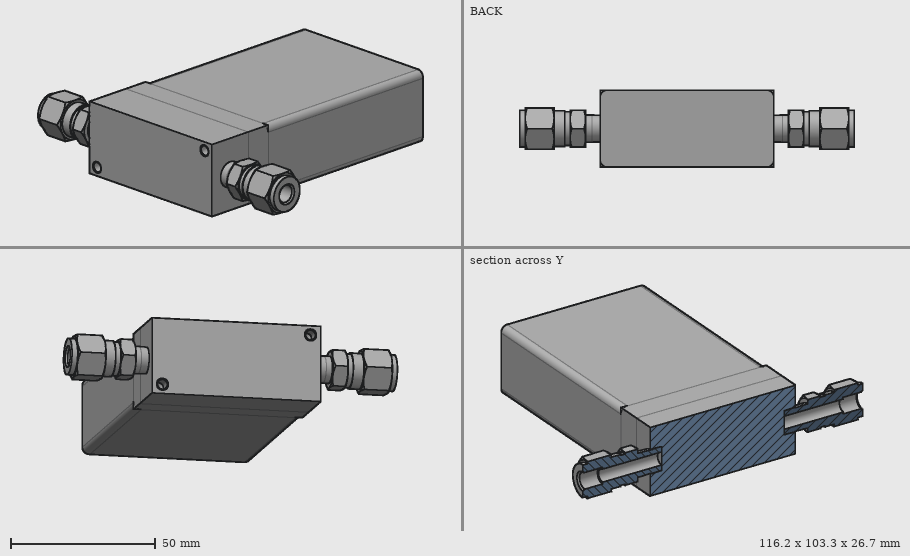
import cadquery as cq
import math

overall_length = 116.2
overall_depth = 103.3
height = 26.7
width = 60.3
block_depth = 17.8
plate_depth = 9.6
cover_edge_radius = 2.5

mount_mouth_radius = 2.1
mount_chamfer_depth = 0.17
mount_hole_radius = 1.7
mount_hole_depth = 5.8
drill_tip_angle = 118.0
mount_hole_side_offset = 3.7
mount_hole_edge_offset = 3.3

collar_end = 2.0
nut_end = 12.0
shoulder_end = 15.7
groove_end = 17.5
body_hex_end = 22.9
neck_end = 25.1
thread_engagement = 4.6

collar_radius = 6.4
nut_across_flats = 14.4
shoulder_radius = 6.3
groove_radius = 5.9
body_hex_across_flats = 12.8
neck_radius = 4.8
thread_taper = 1 / 16
hex_chamfer_angle = 30.0

entry_radius = 3.7
entry_depth = 0.7
tube_bore_radius = 3.1
tube_bore_depth = 8.1
passage_radius = 2.4

front_y = -overall_depth / 2
back_y = overall_depth / 2
block_back_y = front_y + block_depth
plate_back_y = block_back_y + plate_depth
open_end_x = -overall_length / 2
fitting_y = front_y + block_depth / 2
fitting_length = (overall_length - width) / 2 + thread_engagement
thread_tip_radius = neck_radius - (fitting_length - neck_end) * thread_taper / 2


def turned(profile):
    """Solid of revolution about the X axis from (axial, radial) points."""
    return cq.Workplane("XY").polyline(profile).close().revolve(360, (0, 0, 0), (1, 0, 0))


def on_port_axis(shape):
    """Move a shape built along +X from the origin to the left-hand port."""
    return shape.translate((open_end_x, fitting_y, 0))


def chamfered_hex(start, end, across_flats):
    """Hexagonal prism along X, flats facing +Z and -Z, with cone-chamfered corners at both ends."""
    flat_radius = across_flats / 2
    corner_radius = flat_radius / math.cos(math.pi / 6)
    chamfer_length = (corner_radius - flat_radius) * math.tan(math.radians(hex_chamfer_angle))
    prism = (
        cq.Workplane("YZ")
        .workplane(offset=start)
        .polygon(6, 2 * corner_radius)
        .extrude(end - start)
    )
    envelope = turned([
        (start, 0),
        (start, flat_radius),
        (start + chamfer_length, corner_radius),
        (end - chamfer_length, corner_radius),
        (end, flat_radius),
        (end, 0),
    ])
    return prism.intersect(envelope)


def neck_and_thread():
    """Plain neck followed by the tapered thread that enters the block."""
    return turned([
        (groove_end, 0),
        (groove_end, neck_radius),
        (neck_end, neck_radius),
        (fitting_length, thread_tip_radius),
        (fitting_length, 0),
    ])


def make_fitting():
    """Left-hand tube fitting, seated in the block."""
    barrel = turned([
        (0, 0),
        (0, collar_radius),
        (collar_end, collar_radius),
        (collar_end, shoulder_radius),
        (shoulder_end, shoulder_radius),
        (shoulder_end, groove_radius),
        (groove_end, groove_radius),
        (groove_end, 0),
    ])
    bore = turned([
        (0, 0),
        (0, entry_radius),
        (entry_depth, tube_bore_radius),
        (tube_bore_depth, tube_bore_radius),
        (tube_bore_depth, passage_radius),
        (fitting_length, passage_radius),
        (fitting_length, 0),
    ])
    return on_port_axis(
        barrel
        .union(chamfered_hex(collar_end, nut_end, nut_across_flats))
        .union(chamfered_hex(groove_end, body_hex_end, body_hex_across_flats))
        .union(neck_and_thread())
        .cut(bore)
    )


def slab(start_y, end_y):
    """Full-section box between two Y positions."""
    return (
        cq.Workplane("XY")
        .box(width, end_y - start_y, height)
        .translate((0, (start_y + end_y) / 2, 0))
    )


def mounting_hole(x, z):
    """Hole with a chamfered mouth and a conical drill tip, sunk into the front face."""
    tip_length = mount_hole_radius / math.tan(math.radians(drill_tip_angle / 2))
    profile = [
        (0, 0),
        (mount_mouth_radius, 0),
        (mount_hole_radius, mount_chamfer_depth),
        (mount_hole_radius, mount_hole_depth),
        (0, mount_hole_depth + tip_length),
    ]
    hole = cq.Workplane("XY").polyline(profile).close().revolve(360, (0, 0, 0), (0, 1, 0))
    return hole.translate((x, front_y, z))


def make_housing():
    """Block, plate and cover as one solid; clean=False keeps the joint lines on the flush faces."""
    block = slab(front_y, block_back_y)
    plate = slab(block_back_y, plate_back_y)
    cover = slab(plate_back_y, back_y).edges("|Y").fillet(cover_edge_radius)
    housing = block.union(plate, clean=False).union(cover, clean=False)

    hole_x = width / 2 - mount_hole_side_offset
    hole_z = height / 2 - mount_hole_edge_offset
    for side in (-1, 1):
        housing = housing.cut(mounting_hole(side * hole_x, side * hole_z), clean=False)

    port = on_port_axis(neck_and_thread())
    for socket in (port, port.mirror("YZ")):
        housing = housing.cut(socket, clean=False)
    return housing


housing = make_housing()

left_fitting = make_fitting()
fittings = [left_fitting, left_fitting.mirror("YZ")]

result = cq.Compound.makeCompound([housing.val(), *[fitting.val() for fitting in fittings]])